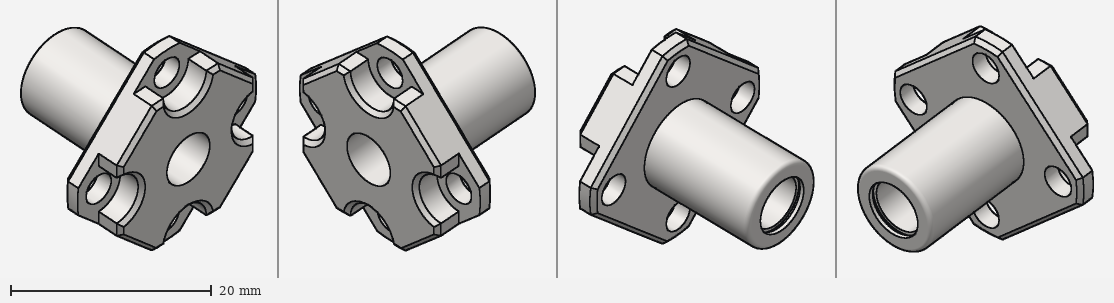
import cadquery as cq

tube_length = 14.0
flange_thickness = 1.95
boss_height = 3.05
edge_break = 0.5
total_length = tube_length + flange_thickness + boss_height

tube_diameter = 10.0
bore_diameter = 6.0
entry_diameter = 6.4
groove_diameter = 6.8
groove_start = 0.5
groove_width = 0.35
entry_depth = groove_start + groove_width
flange_corner_diameter = 24.97
flange_width = 20.0
screw_hole_diameter = 3.5
screw_hole_radius = 9.51
scallop_diameter = 6.0
boss_width = 2 * screw_hole_radius


def disc(diameter, start, length):
    """Cylinder on the X axis."""
    return cq.Workplane("YZ", origin=(start, 0, 0)).circle(diameter / 2).extrude(length)


def square_plate(start, length):
    """Diamond-oriented square with corners rounded about the X axis."""
    square = cq.Workplane("YZ", origin=(start, 0, 0)).rect(flange_width, flange_width).extrude(length)
    square = square.rotate((0, 0, 0), (1, 0, 0), 45)
    return square.intersect(disc(flange_corner_diameter, start, length))


def screw_points(workplane):
    """Four screw positions on the Y and Z axes."""
    return workplane.polarArray(screw_hole_radius, 0, 360, 4)


def make_tube():
    return disc(tube_diameter, 0, tube_length).faces("<X").edges().fillet(edge_break)


def make_flange():
    flange = square_plate(tube_length, flange_thickness).faces("<X").edges().chamfer(edge_break)
    holes = screw_points(cq.Workplane("YZ", origin=(tube_length, 0, 0)))
    return flange.cut(holes.circle(screw_hole_diameter / 2).extrude(flange_thickness))


def make_boss():
    """Octagonal boss, scalloped around the screw holes."""
    start = tube_length + flange_thickness
    base = cq.Workplane("YZ", origin=(start, 0, 0))
    block = base.rect(boss_width, boss_width).extrude(boss_height)
    octagon = square_plate(start, boss_height).intersect(block)
    scallops = screw_points(base).circle(scallop_diameter / 2).extrude(boss_height)
    return octagon.cut(scallops).faces(">X").edges().chamfer(edge_break)


def cut_bore(body):
    """Through bore with a retaining groove behind a short entry."""
    body = body.cut(disc(bore_diameter, 0, total_length))
    body = body.cut(disc(entry_diameter, 0, entry_depth))
    return body.cut(disc(groove_diameter, groove_start, groove_width))


result = cut_bore(make_tube().union(make_flange()).union(make_boss()))